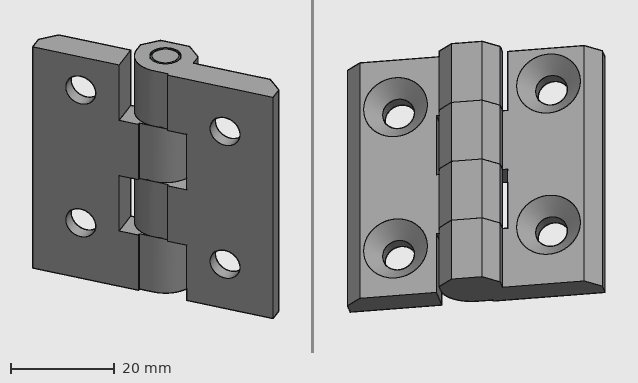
import cadquery as cq

width = 50.0
height = 50.0
leaf_thickness = 6.0
edge_chamfer = 3.0

hinge_depth = 11.5
knuckle_radius = 6.0
knuckle_clearance = 1.0
knuckle_chamfer = 3.0
knuckle_count = 4
relief_depth = 0.5
relief_half_width = 3.0
pin_diameter = 6.0
pin_chamfer = 0.4

screw_diameter = 6.2
countersink_diameter = 12.5
screw_offset = 15.0
screw_spacing = 30.0
left_screw_bottom = 12.5
right_screw_bottom = 10.0

half_width = width / 2
knuckle_height = height / knuckle_count
axis_y = relief_depth + knuckle_radius
notch_edge = knuckle_radius + knuckle_clearance


def plate(side):
    """Leaf plate outside the knuckle zone; side is +1 for right, -1 for left."""
    return (
        cq.Workplane("XY")
        .moveTo(side * notch_edge, 0)
        .lineTo(side * half_width, 0)
        .lineTo(side * half_width, leaf_thickness - edge_chamfer)
        .lineTo(side * (half_width - edge_chamfer), leaf_thickness)
        .lineTo(side * notch_edge, leaf_thickness)
        .close()
        .extrude(height)
    )


def knuckle(side, bottom):
    """One knuckle with its web reaching to the plate of its own leaf."""
    arc_step = knuckle_radius * 0.5 ** 0.5
    flat_half_width = knuckle_radius - knuckle_chamfer
    return (
        cq.Workplane("XY", origin=(0, 0, bottom))
        .moveTo(side * notch_edge, 0)
        .lineTo(side * relief_half_width, 0)
        .lineTo(side * relief_half_width, relief_depth)
        .lineTo(0, relief_depth)
        .threePointArc((-side * arc_step, axis_y - arc_step), (-side * knuckle_radius, axis_y))
        .lineTo(-side * knuckle_radius, hinge_depth - knuckle_chamfer)
        .lineTo(-side * flat_half_width, hinge_depth)
        .lineTo(side * flat_half_width, hinge_depth)
        .lineTo(side * knuckle_radius, hinge_depth - knuckle_chamfer)
        .lineTo(side * knuckle_radius, leaf_thickness)
        .lineTo(side * notch_edge, leaf_thickness)
        .close()
        .extrude(knuckle_height)
    )


def screw_hole(x, z):
    """Cutter for a screw hole with a 90 degree countersink in the back face."""
    screw_radius = screw_diameter / 2
    countersink_radius = countersink_diameter / 2
    countersink_depth = countersink_radius - screw_radius
    profile = (
        cq.Workplane("XY", origin=(x, 0, z))
        .lineTo(screw_radius, 0)
        .lineTo(screw_radius, leaf_thickness - countersink_depth)
        .lineTo(countersink_radius, leaf_thickness)
        .lineTo(0, leaf_thickness)
        .close()
    )
    return profile.revolve(360, (0, 0, 0), (0, 1, 0))


def leaf(side, first_knuckle, screw_bottom):
    """Plate, every second knuckle and the screw holes."""
    body = plate(side)
    for index in range(first_knuckle, knuckle_count, 2):
        body = body.union(knuckle(side, index * knuckle_height))
    for z in (screw_bottom, screw_bottom + screw_spacing):
        body = body.cut(screw_hole(side * screw_offset, z))
    return body


def pin_cylinder():
    return cq.Workplane("XY").center(0, axis_y).circle(pin_diameter / 2).extrude(height)


pin = pin_cylinder().faces(">Z").chamfer(pin_chamfer)
left_leaf = leaf(-1, 0, left_screw_bottom).union(pin)

right_leaf = leaf(1, 1, right_screw_bottom).cut(pin_cylinder())

result = cq.Compound.makeCompound([left_leaf.val(), right_leaf.val()])